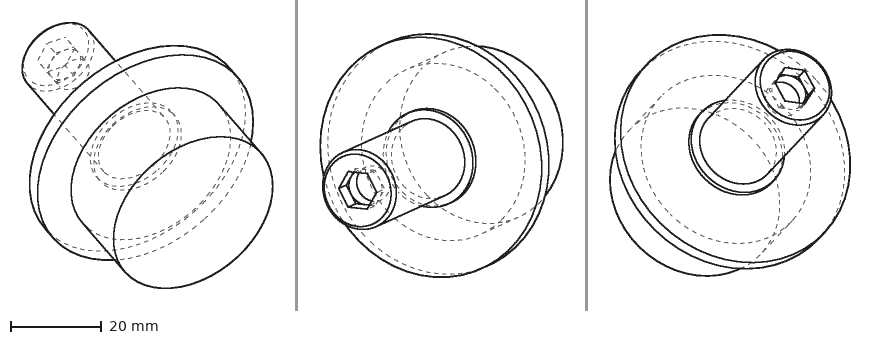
import cadquery as cq
import math

total_length = 64.1

stud_diameter = 17.95
collar_diameter = 21.9
flange_diameter = 54.0
hub_diameter = 39.9

stud_length = 36.5
collar_thickness = 1.55
flange_thickness = 3.8
cone_length = 2.5
tip_chamfer_length = 0.95
tip_chamfer_height = 0.85

socket_across_flats = 8.0
socket_depth = 4.0
pilot_depth = 8.0
pilot_diameter = socket_across_flats
pilot_cone_angle = 120.0

collar_end = stud_length + collar_thickness
flange_end = collar_end + flange_thickness
cone_end = flange_end + cone_length


def make_body():
    """Revolve the half profile of stud, collar, flange and hub about X."""
    stud_radius = stud_diameter / 2
    collar_radius = collar_diameter / 2
    flange_radius = flange_diameter / 2
    hub_radius = hub_diameter / 2
    profile = [
        (0, 0),
        (0, stud_radius - tip_chamfer_height),
        (tip_chamfer_length, stud_radius),
        (stud_length, stud_radius),
        (stud_length, collar_radius),
        (collar_end, collar_radius),
        (collar_end, flange_radius),
        (flange_end, flange_radius),
        (cone_end, hub_radius),
        (total_length, hub_radius),
        (total_length, 0),
    ]
    return cq.Workplane("XY").polyline(profile).close().revolve(360, (0, 0), (1, 0))


def make_socket():
    """Hexagon with corners on the Y axis, over a pilot hole with a conical end."""
    across_corners = socket_across_flats / math.cos(math.radians(30))
    hexagon = cq.Workplane("YZ").polygon(6, across_corners).extrude(socket_depth)

    pilot_radius = pilot_diameter / 2
    cone_depth = pilot_radius / math.tan(math.radians(pilot_cone_angle / 2))
    pilot_profile = [
        (0, 0),
        (pilot_depth + cone_depth, 0),
        (pilot_depth, pilot_radius),
        (0, pilot_radius),
    ]
    pilot_hole = cq.Workplane("XY").polyline(pilot_profile).close().revolve(360, (0, 0), (1, 0))
    return hexagon.union(pilot_hole)


result = make_body().cut(make_socket())